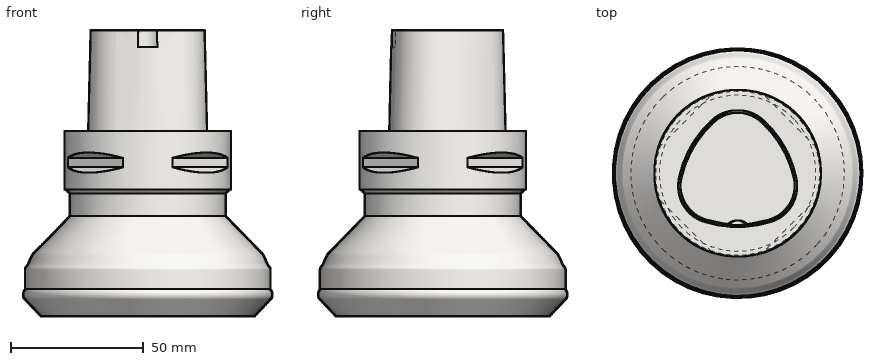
import cadquery as cq
import math

total_height = 108.0
ring_height = 10.3
neck_bottom = 37.8
flange_bottom = 47.9
flange_top = 70.0
shank_length = total_height - flange_top

ring_face_radius = 40.3
ring_cone_radius = 46.7
ring_cone_height = 6.7
ring_outer_radius = 47.1
ring_bulge_height = 8.0
ring_top_radius = 46.2

band_radius = 92.9 / 2
band_top = 17.5
shoulder_round_radius = 46.0
shoulder_round_top = 18.6
shoulder_round_bulge = 0.1
shoulder_bottom_radius = 45.4
shoulder_bottom = 19.5
shoulder_top_radius = 44.0
shoulder_top = 22.6
cone_radius = 43.4
cone_bottom = 23.6
neck_radius = 59.0 / 2
flange_radius = 63.0 / 2
undercut_ledge = 0.5
undercut_height = flange_radius - undercut_ledge - neck_radius

slot_count = 4
slot_first_angle = 45
slot_floor_distance = 27.9
slot_floor_height = 3.5
slot_center_height = 58.0
slot_wall_angle = 30
slot_reach = 5.4

lobe_count = 3
first_lobe_angle = 90
lobe_pitch = 360 / lobe_count
lobe_tip_radius = 23.8
lobe_joint_radius = 22.2
lobe_valley_radius = 20.3
lobe_half_angle = 26
shank_taper = 1 / 40

keyway_radius = 5.2
keyway_bottom_y = -17.8
keyway_height = 6.4


def revolve_profile(profile):
    return profile.close().revolve(360, (0, 0, 0), (0, 1, 0))


def make_cutter_ring():
    """Cone with a rounded rim that closes the lower end."""
    profile = (
        cq.Workplane("XZ")
        .lineTo(ring_face_radius, 0)
        .lineTo(ring_cone_radius, ring_cone_height)
        .threePointArc((ring_outer_radius, ring_bulge_height), (ring_top_radius, ring_height))
        .lineTo(0, ring_height)
    )
    return revolve_profile(profile)


def make_turned_body():
    """Band, stepped shoulder, cone, neck and flange."""
    round_middle = (
        (band_radius + shoulder_round_radius) / 2 + shoulder_round_bulge,
        (band_top + shoulder_round_top) / 2,
    )
    profile = (
        cq.Workplane("XZ")
        .moveTo(0, ring_height)
        .lineTo(band_radius, ring_height)
        .lineTo(band_radius, band_top)
        .threePointArc(round_middle, (shoulder_round_radius, shoulder_round_top))
        .lineTo(shoulder_bottom_radius, shoulder_bottom)
        .lineTo(shoulder_top_radius, shoulder_top)
        .lineTo(cone_radius, cone_bottom)
        .lineTo(neck_radius, neck_bottom)
        .lineTo(neck_radius, flange_bottom - undercut_height)
        .lineTo(flange_radius - undercut_ledge, flange_bottom)
        .lineTo(flange_radius, flange_bottom)
        .lineTo(flange_radius, flange_top)
        .lineTo(0, flange_top)
    )
    return revolve_profile(profile)


def polar(radius, angle):
    return (radius * math.cos(math.radians(angle)), radius * math.sin(math.radians(angle)))


def draw_lobes(plane, inset):
    """Closed outline of alternating tight lobe arcs and shallow arcs, one lobe toward +Y."""
    tip_radius = lobe_tip_radius - inset
    joint_radius = lobe_joint_radius - inset
    valley_radius = lobe_valley_radius - inset
    outline = plane.moveTo(*polar(joint_radius, first_lobe_angle - lobe_half_angle))
    for i in range(lobe_count):
        tip_angle = first_lobe_angle + i * lobe_pitch
        outline = outline.threePointArc(
            polar(tip_radius, tip_angle),
            polar(joint_radius, tip_angle + lobe_half_angle),
        )
        outline = outline.threePointArc(
            polar(valley_radius, tip_angle + lobe_pitch / 2),
            polar(joint_radius, tip_angle + lobe_pitch - lobe_half_angle),
        )
    return outline.close()


def make_shank():
    base = draw_lobes(cq.Workplane("XY", origin=(0, 0, flange_top)), 0)
    top = draw_lobes(base.workplane(offset=shank_length), shank_length * shank_taper)
    return top.loft(ruled=True)


def make_keyway():
    return (
        cq.Workplane("XY", origin=(0, keyway_bottom_y - keyway_radius, total_height))
        .circle(keyway_radius)
        .extrude(-keyway_height)
    )


def make_grip_slot(angle):
    """Flat-floored slot whose upper and lower walls flare outward."""
    floor_half = slot_floor_height / 2
    mouth_half = floor_half + slot_reach * math.tan(math.radians(slot_wall_angle))
    mouth_distance = slot_floor_distance + slot_reach
    return (
        cq.Workplane("XZ", origin=(0, 0, slot_center_height))
        .polyline([
            (slot_floor_distance, -floor_half),
            (mouth_distance, -mouth_half),
            (mouth_distance, mouth_half),
            (slot_floor_distance, floor_half),
        ])
        .close()
        .extrude(flange_radius, both=True)
        .rotate((0, 0, 0), (0, 0, 1), angle)
    )


def make_holder():
    holder = make_turned_body().union(make_shank()).cut(make_keyway())
    for i in range(slot_count):
        holder = holder.cut(make_grip_slot(slot_first_angle + i * 360 / slot_count))
    return holder


cutter_ring = make_cutter_ring()
holder = make_holder()

result = cq.Compound.makeCompound([cutter_ring.val(), *holder.vals()])